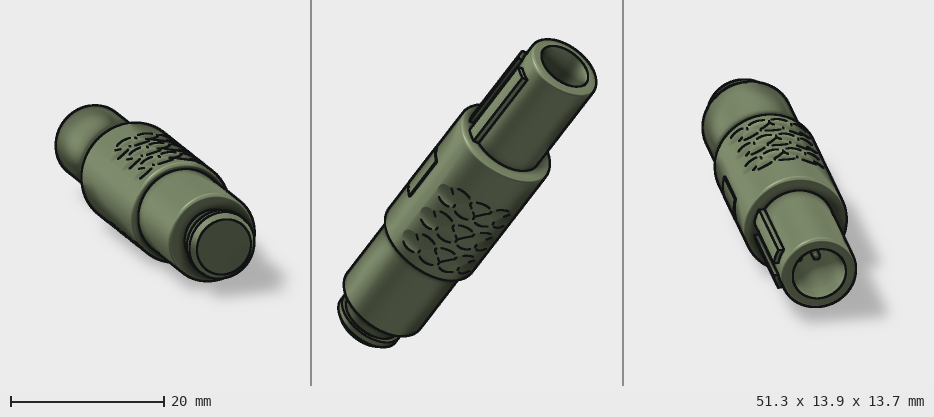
import cadquery as cq

total_length = 51.3
nose_length = 15.05
grip_length = 19.95
rear_length = 12.0
head_length = 1.75
nose_diameter = 10.0
grip_diameter = 13.7
rear_radius = 6.0
neck_radius = 3.9
head_radius = 4.5
edge_round = 0.5
head_chamfer = 0.75

nose_radius = nose_diameter / 2
grip_radius = grip_diameter / 2
grip_start = nose_length
grip_end = grip_start + grip_length
rear_end = grip_end + rear_length
head_start = total_length - head_length

socket_radius = 3.55
socket_depth = nose_length
pin_radius = 0.45
pin_length = 7.7
pin_pitch = 2.4

rib_start = 2.5
rib_outer_radius = 5.65
rib_pair_width = 5.45
rib_gap = 1.75

dimple_depth = 0.22
dimple_half_width = 1.3
dimple_angle_step = 25.6
dimple_group_count = 3
dimple_group_pitch = 4.5
first_column_offset = 7.0
column_spacing = 0.9

plate_height = 0.15
plate_start = grip_start + 6.4
plate_length = 6.9
plate_width = 2.85


def rod(start, end, radius):
    """Cylinder along X between two stations."""
    return cq.Workplane("YZ", origin=(start, 0, 0)).circle(radius).extrude(end - start)


def make_body():
    nose = rod(0, grip_start, nose_radius).faces("<X").edges().fillet(edge_round)
    grip = rod(grip_start, grip_end, grip_radius).edges("%CIRCLE").fillet(edge_round)
    rear = rod(grip_end, rear_end, rear_radius).faces(">X").edges().fillet(edge_round)
    neck = rod(rear_end, head_start, neck_radius)
    head = rod(head_start, total_length, head_radius).faces(">X").edges().chamfer(head_chamfer)
    return nose.union(grip).union(rear).union(neck).union(head)


def make_key_ribs():
    """Concentric ribs with flat sides, separated by a gap centred on the +Y axis."""
    length = grip_start - rib_start
    ring = rod(rib_start, grip_start, rib_outer_radius)
    plane = cq.Workplane("YZ", origin=(rib_start, 0, 0))
    span = plane.center(rib_outer_radius / 2, 0).rect(rib_outer_radius, rib_pair_width).extrude(length)
    gap = plane.center(rib_outer_radius / 2, 0).rect(rib_outer_radius, rib_gap).extrude(length)
    return ring.intersect(span).cut(gap)


def make_plate():
    """Shallow plate that follows the curve of the grip."""
    outer_radius = grip_radius + plate_height
    strip = (
        cq.Workplane("YZ", origin=(plate_start, 0, 0))
        .center(outer_radius / 2, 0)
        .rect(outer_radius, plate_width)
        .extrude(plate_length)
    )
    return rod(plate_start, plate_start + plate_length, outer_radius).intersect(strip)


def make_pins():
    """Four round pins with domed tips."""
    tip = socket_depth - pin_length
    pins = cq.Workplane("YZ", origin=(tip + pin_radius, 0, 0)).rarray(pin_pitch, pin_pitch, 2, 2)
    shanks = pins.circle(pin_radius).extrude(pin_length - pin_radius)
    domes = pins.sphere(pin_radius)
    return shanks.union(domes)


def make_dimple_cutter(x, angle):
    """Cylinder lying tangent to the grip, turned about X by an angle from the top."""
    cutter_radius = (dimple_half_width**2 + dimple_depth**2) / (2 * dimple_depth)
    axis_height = grip_radius - dimple_depth + cutter_radius
    cutter = (
        cq.Workplane("XZ", origin=(x, 0, axis_height))
        .circle(cutter_radius)
        .extrude(grip_radius / 2, both=True)
    )
    return cutter.rotate((0, 0, 0), (1, 0, 0), angle)


def cut_dimples(body):
    columns = [
        (0, (-1, 0, 1)),
        (column_spacing, (-1.5, -0.5, 0.5, 1.5)),
    ]
    for group in range(dimple_group_count):
        group_x = grip_start + first_column_offset + group * dimple_group_pitch
        for column_x, steps in columns:
            for side_angle in (0, 180):
                for step in steps:
                    angle = side_angle + step * dimple_angle_step
                    body = body.cut(make_dimple_cutter(group_x + column_x, angle))
    return body


body = cut_dimples(make_body())
body = body.union(make_key_ribs()).union(make_plate())
body = body.cut(rod(0, socket_depth, socket_radius))
result = body.union(make_pins())